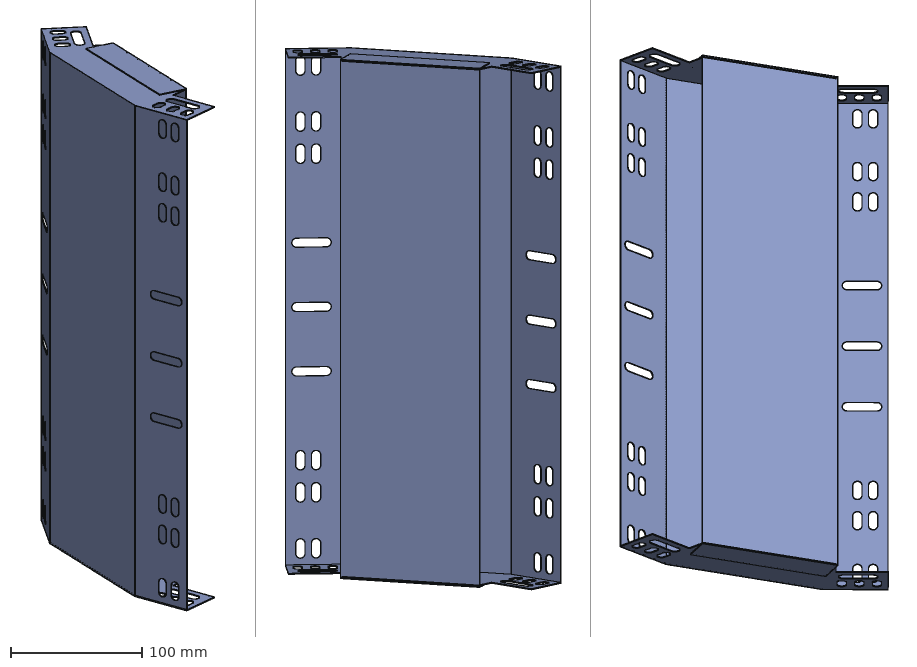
import math

import cadquery as cq

SHEET = 0.8
INNER_LENGTH = 400.0
TRAY_LENGTH = INNER_LENGTH + 2 * SHEET
FLOOR_HALF_WIDTH = 64.72
WING_LENGTH = 50.0
WING_ANGLE = 22.5
WING_FLANGE_HEIGHT = 34.73
NOTCH_FROM_FOLD = 10.0

COVER_SHEET = SHEET
COVER_WIDTH = 112.0
COVER_LIP_DEPTH = 23.8
COVER_SEAT = 50.0
COVER_BACK = COVER_SEAT + COVER_SHEET

WING_SLOT_WIDTH = 7.0
UPRIGHT_SLOT_LENGTH = 15.0
UPRIGHT_SLOT_FROM_FOLD = (26.5, 38.5)
UPRIGHT_SLOT_HEIGHTS = (119.0, 144.0, 187.5)
CROSS_SLOT_LENGTH = 30.0
CROSS_SLOT_FROM_FOLD = 30.0
CROSS_SLOT_HEIGHTS = (-50.0, 0.0, 50.0)

FLANGE_LONG_SLOT_LENGTH = 30.0
FLANGE_LONG_SLOT_WIDTH = 8.0
FLANGE_LONG_SLOT_FROM_FOLD = 27.0
FLANGE_LONG_SLOT_DEPTH = 25.2
FLANGE_SHORT_SLOT_LENGTH = 12.0
FLANGE_SHORT_SLOT_WIDTH = 7.0
FLANGE_SHORT_SLOT_CENTRE = 27.9
FLANGE_SHORT_SLOT_PITCH = 13.4
FLANGE_SHORT_SLOT_DEPTH = 11.8

HALF_LENGTH = TRAY_LENGTH / 2
ANGLE = math.radians(WING_ANGLE)
FOLD_MITRE = SHEET * math.tan(ANGLE / 2)


def wing_point(from_fold, depth):
    """XY of a point on the right wing, along it from the outer fold and in from its outer face."""
    x = FLOOR_HALF_WIDTH + from_fold * math.cos(ANGLE) - depth * math.sin(ANGLE)
    y = from_fold * math.sin(ANGLE) + depth * math.cos(ANGLE)
    return x, y


def mirrored_outline(right_side):
    """Close an outline whose right side is given, by repeating it on the left in reverse."""
    left_side = [(-x, y) for x, y in reversed(right_side)]
    return cq.Workplane("XY").polyline(right_side + left_side).close()


def trough():
    """The floor and its two wings, in one sheet of constant thickness."""
    right_side = [
        (FLOOR_HALF_WIDTH, 0),
        wing_point(WING_LENGTH, 0),
        wing_point(WING_LENGTH, SHEET),
        (FLOOR_HALF_WIDTH - FOLD_MITRE, SHEET),
    ]
    return mirrored_outline(right_side).extrude(HALF_LENGTH, both=True)


def end_flange():
    """The top end flange; the notches leave a tall middle part for the cover."""
    notch_x, notch_y = wing_point(NOTCH_FROM_FOLD, WING_FLANGE_HEIGHT)
    middle_half_width = notch_x - (COVER_SEAT - notch_y) * math.tan(ANGLE)
    right_side = [
        (FLOOR_HALF_WIDTH, 0),
        wing_point(WING_LENGTH, 0),
        wing_point(WING_LENGTH, WING_FLANGE_HEIGHT),
        (notch_x, notch_y),
        (middle_half_width, COVER_SEAT),
    ]
    flange = mirrored_outline(right_side).extrude(SHEET)
    return flange.translate((0, 0, HALF_LENGTH - SHEET))


def wing_slots():
    """Cutters for the slots through the right wing."""
    wing = cq.Plane(
        origin=(FLOOR_HALF_WIDTH, 0, 0),
        xDir=(math.cos(ANGLE), math.sin(ANGLE), 0),
        normal=(math.sin(ANGLE), -math.cos(ANGLE), 0),
    )
    upright_centres = [
        (from_fold, side * height)
        for from_fold in UPRIGHT_SLOT_FROM_FOLD
        for height in UPRIGHT_SLOT_HEIGHTS
        for side in (-1, 1)
    ]
    cross_centres = [(CROSS_SLOT_FROM_FOLD, height) for height in CROSS_SLOT_HEIGHTS]
    uprights = (
        cq.Workplane(wing)
        .pushPoints(upright_centres)
        .slot2D(UPRIGHT_SLOT_LENGTH, WING_SLOT_WIDTH, 90)
        .extrude(SHEET, both=True)
    )
    crosses = (
        cq.Workplane(wing)
        .pushPoints(cross_centres)
        .slot2D(CROSS_SLOT_LENGTH, WING_SLOT_WIDTH)
        .extrude(SHEET, both=True)
    )
    return uprights.add(crosses).combine()


def flange_slots():
    """Cutters for the slots through both end flanges, over the right wing."""
    short_centres = [
        wing_point(FLANGE_SHORT_SLOT_CENTRE + step * FLANGE_SHORT_SLOT_PITCH, FLANGE_SHORT_SLOT_DEPTH)
        for step in (-1, 0, 1)
    ]
    shorts = (
        cq.Workplane("XY")
        .pushPoints(short_centres)
        .slot2D(FLANGE_SHORT_SLOT_LENGTH, FLANGE_SHORT_SLOT_WIDTH, WING_ANGLE + 90)
        .extrude(HALF_LENGTH, both=True)
    )
    long_slot = (
        cq.Workplane("XY")
        .pushPoints([wing_point(FLANGE_LONG_SLOT_FROM_FOLD, FLANGE_LONG_SLOT_DEPTH)])
        .slot2D(FLANGE_LONG_SLOT_LENGTH, FLANGE_LONG_SLOT_WIDTH, WING_ANGLE)
        .extrude(HALF_LENGTH, both=True)
    )
    return shorts.add(long_slot).combine()


def make_tray():
    top_flange = end_flange()
    body = trough().union(top_flange).union(top_flange.mirror("XY")).clean()
    for slots in (wing_slots(), flange_slots()):
        body = body.cut(slots).cut(slots.mirror("YZ"))
    return body


def make_cover():
    """A channel that wraps the back of the tray and hooks over both end flanges."""
    outer_length = TRAY_LENGTH + 2 * COVER_SHEET
    channel = cq.Workplane("XY").box(COVER_WIDTH, COVER_LIP_DEPTH, outer_length)
    hollow = cq.Workplane("XY").box(COVER_WIDTH, COVER_LIP_DEPTH, TRAY_LENGTH)
    cover = channel.cut(hollow.translate((0, -COVER_SHEET, 0)))
    return cover.translate((0, COVER_BACK - COVER_LIP_DEPTH / 2, 0))


tray = make_tray()
cover = make_cover()

result = cq.Compound.makeCompound([tray.solids().val(), cover.solids().val()])